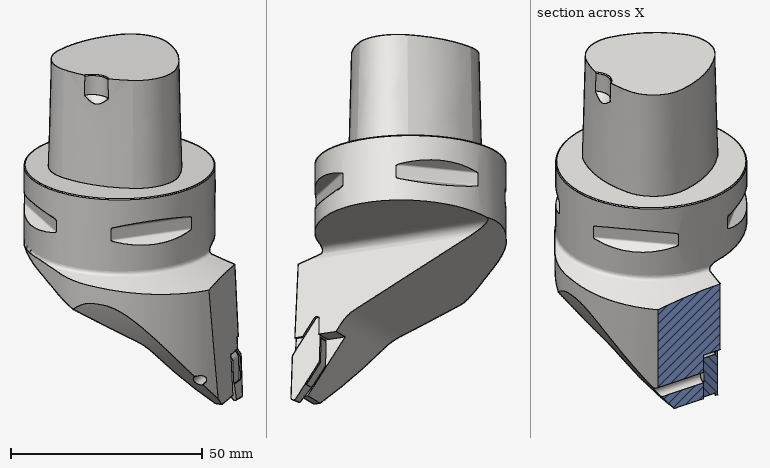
import cadquery as cq
import math


shank_length = 30.0
shank_slope = 1 / 40
lobe_reach = 18.7
flat_reach = 16.2
lobe_radius = 11.5

notch_radius = 4.4
notch_wall_y = -13.8
notch_depth = 5.6
notch_chamfer = 0.3

flange_radius = 25.0
flange_chamfer = 0.3
slot_count = 4
slot_z = -10.0
slot_floor_reach = 22.3
slot_floor_width = 3.6
slot_wall_angle = 30
slot_fillet = 0.6

shoulder_z = -21.2
shoulder_angle = 15
shoulder_fillet = 1.2

nose_arc_centre_x = 7.6
nose_arc_radius = 30.0
flank_arc_centre_x = 5.7
flank_arc_radius = 21.0
plan_rim_radius = 25.3
flank_angle = 34.5

arm_bottom_z = -57.9
back_slope_angle = 5
back_slope_rim_z = -17.7
back_face_y = 0.8
back_fillet = 3.0
belly_radius = 80.0
belly_centre_y = 46.1
belly_centre_z = -2.6
outer_face_x = 32.5
outer_face_z = -23.1
outer_face_angle = 2.8
heel_z = -19.35
heel_angle = 24.6
bend_x = 18.3
undercut_angle = 53
bend_fillet = 10.0

insert_angle = 35
insert_side = 13.95
insert_lead_angle = 2
insert_thickness = 4.5
insert_clearance = 5
insert_nose_radius = 0.8
insert_side_radius = 1.2
insert_nose_x = 34.2
tool_length = 60.0
flank_step_y = -0.8
flank_step_depth = 0.45
flank_step_length = 6.8
underside_half_length = 5.4
underside_angle = 12

seat_window_z = -43.3
screw_hole_diameter = 3.0

REACH = 54


def tan_deg(angle):
    return math.tan(math.radians(angle))


def polar(radius, angle):
    return (radius * math.cos(math.radians(angle)), radius * math.sin(math.radians(angle)))


def moved(point, distance, angle):
    step = polar(distance, angle)
    return (point[0] + step[0], point[1] + step[1])


corner_reach = insert_nose_radius / math.sin(math.radians(insert_angle / 2))
outer_edge_heading = 90 + insert_lead_angle
inner_edge_heading = outer_edge_heading + insert_angle
diagonal_heading = outer_edge_heading + insert_angle / 2
nose_centre = (insert_nose_x, insert_nose_radius - tool_length)
tip_corner = moved(nose_centre, -corner_reach, diagonal_heading)
outer_corner = moved(tip_corner, insert_side, outer_edge_heading)
inner_corner = moved(tip_corner, insert_side, inner_edge_heading)
far_corner = moved(outer_corner, insert_side, inner_edge_heading)
insert_centre = ((tip_corner[0] + far_corner[0]) / 2, (tip_corner[1] + far_corner[1]) / 2)


def make_shank():
    """Lobe arcs joined by tangent side arcs, drawn in towards the top."""
    lobe_offset = lobe_reach - lobe_radius
    gap = flat_reach - lobe_radius
    side_offset = (lobe_offset**2 - gap**2) / (2 * gap - lobe_offset)
    side_radius = flat_reach + side_offset
    seam_half_turn = math.degrees(
        math.atan2(lobe_offset * math.sin(math.pi / 3), side_offset + lobe_offset / 2)
    )

    def seam(side_angle, sign):
        centre = polar(-side_offset, side_angle)
        return moved(centre, side_radius, side_angle + sign * seam_half_turn)

    outline = cq.Workplane("XY").moveTo(*seam(-90, -1))
    for side_angle in (-90, 30, 150):
        outline = outline.threePointArc(polar(flat_reach, side_angle), seam(side_angle, 1))
        outline = outline.threePointArc(polar(lobe_reach, side_angle + 60), seam(side_angle + 120, -1))
    return outline.close().extrude(shank_length, taper=math.degrees(math.atan(shank_slope)))


def make_notch_drill():
    """Drill with a 90 degree point that bites the -Y side of the shank from above."""
    shoulder = shank_length - notch_depth
    profile = (
        cq.Workplane("XZ")
        .moveTo(0, shoulder - notch_radius)
        .lineTo(notch_radius, shoulder)
        .lineTo(notch_radius, shank_length - notch_chamfer)
        .lineTo(notch_radius + notch_chamfer, shank_length)
        .lineTo(0, shank_length)
        .close()
    )
    drill = profile.revolve(360, (0, 0, 0), (0, 1, 0))
    return drill.translate((0, notch_wall_y - notch_radius, 0))


def make_gripper_slot():
    """Trapezoidal slot across the +X side of the flange, with rounded floor corners."""
    depth = 2 * (flange_radius - slot_floor_reach)
    floor_half = slot_floor_width / 2
    mouth_half = floor_half + depth * tan_deg(slot_wall_angle)
    return (
        cq.Workplane("XZ", origin=(slot_floor_reach, 0, slot_z))
        .polyline([(0, -floor_half), (depth, -mouth_half), (depth, mouth_half), (0, floor_half)])
        .close()
        .extrude(flange_radius, both=True)
        .faces("<X")
        .edges("|Y")
        .fillet(slot_fillet)
    )


def make_turned_blank():
    """Flange cylinder running through a fillet into the conical shoulder, turned about Z."""
    cone_slope = tan_deg(shoulder_angle)
    blank_radius = 2 * flange_radius
    tangent_length = shoulder_fillet * tan_deg((90 - shoulder_angle) / 2)
    corner = (flange_radius, shoulder_z)
    fillet_top = (flange_radius, shoulder_z + tangent_length)
    fillet_end = moved(corner, tangent_length, -shoulder_angle)
    fillet_centre = (flange_radius + shoulder_fillet, fillet_top[1])
    fillet_middle = moved(fillet_centre, -shoulder_fillet, (90 - shoulder_angle) / 2)
    return (
        cq.Workplane("XZ")
        .lineTo(flange_radius - flange_chamfer, 0)
        .lineTo(flange_radius, -flange_chamfer)
        .lineTo(*fillet_top)
        .threePointArc(fillet_middle, fillet_end)
        .lineTo(blank_radius, shoulder_z - (blank_radius - flange_radius) * cone_slope)
        .lineTo(blank_radius, arm_bottom_z)
        .lineTo(0, arm_bottom_z)
        .close()
        .revolve(360, (0, 0, 0), (0, 1, 0))
    )


def make_plan_prism():
    """Plan outline of flange and arm together, over the full height."""
    flank_centre = (flank_arc_centre_x, flank_arc_radius - nose_arc_radius)
    flank_bottom = (flank_arc_centre_x, -nose_arc_radius)
    flank_middle = moved(flank_centre, flank_arc_radius, -90 - flank_angle / 2)
    flank_start = moved(flank_centre, flank_arc_radius, -90 - flank_angle)
    rim_point = polar(plan_rim_radius, -90 - flank_angle)
    nose_arc_centre = (nose_arc_centre_x, 0)
    arm = (
        cq.Workplane("XY")
        .lineTo(*rim_point)
        .lineTo(*flank_start)
        .threePointArc(flank_middle, flank_bottom)
        .lineTo(nose_arc_centre_x, -nose_arc_radius)
        .threePointArc(
            moved(nose_arc_centre, nose_arc_radius, -45),
            moved(nose_arc_centre, nose_arc_radius, 0),
        )
        .lineTo(nose_arc_centre_x + nose_arc_radius, flange_radius / 2)
        .lineTo(0, flange_radius / 2)
        .close()
        .extrude(arm_bottom_z)
    )
    return arm.union(cq.Workplane("XY").circle(plan_rim_radius).extrude(arm_bottom_z))


def make_back_cut():
    """Clears the +Y side: sloping flange underside, fillet and upright back face."""
    slope = tan_deg(back_slope_angle)
    rim_y = 2 * flange_radius
    rim_z = back_slope_rim_z + (rim_y - flange_radius) * slope
    corner_z = rim_z - (rim_y - back_face_y) * slope
    return (
        cq.Workplane("YZ")
        .polyline([
            (back_face_y, corner_z),
            (rim_y, rim_z),
            (rim_y, -2 * tool_length),
            (back_face_y, -2 * tool_length),
        ])
        .close()
        .extrude(REACH, both=True)
        .edges(cq.selectors.NearestToPointSelector((0, back_face_y, corner_z)))
        .fillet(back_fillet)
    )


def make_arm_side_profile():
    """Solid kept along Y: heel slope, bend, undercut and leaning outer face."""
    bend_z = heel_z - (bend_x + flange_radius) * tan_deg(heel_angle)
    outer_slope = tan_deg(outer_face_angle)
    outer_top_x = outer_face_x + outer_face_z * outer_slope
    low_z = -2 * tool_length
    undercut_x = bend_x + (bend_z - low_z) / tan_deg(undercut_angle)
    start_x = -2 * flange_radius
    start_z = heel_z - (start_x + flange_radius) * tan_deg(heel_angle)
    kept = (
        cq.Workplane("XZ")
        .polyline([
            (start_x, shank_length),
            (start_x, start_z),
            (bend_x, bend_z),
            (undercut_x, low_z),
            (2 * undercut_x, low_z),
            (2 * undercut_x, shank_length),
        ])
        .close()
        .extrude(REACH, both=True)
        .edges(cq.selectors.NearestToPointSelector((bend_x, 0, bend_z)))
        .fillet(bend_fillet)
    )
    outer = (
        cq.Workplane("XZ")
        .polyline([
            (start_x, shank_length),
            (outer_top_x - shank_length * outer_slope, shank_length),
            (outer_top_x - low_z * outer_slope, low_z),
            (start_x, low_z),
        ])
        .close()
        .extrude(REACH, both=True)
    )
    return kept.intersect(outer)


def make_belly():
    """Large cylinder along X that rounds the -Y side of the arm."""
    return (
        cq.Workplane("YZ", origin=(0, belly_centre_y, belly_centre_z))
        .circle(belly_radius)
        .extrude(REACH, both=True)
    )


def insert_outline():
    """Rhombus with rounded corners in the plane Y = 0."""
    corners = [tip_corner, outer_corner, far_corner, inner_corner]
    wire = cq.Wire.makePolygon([cq.Vector(x, 0, z) for x, z in corners], close=True)

    def at(*points):
        wanted = [cq.Vector(x, 0, z) for x, z in points]
        return [v for v in wire.Vertices() if min((v.Center() - w).Length for w in wanted) < 0.01]

    wire = wire.fillet2D(insert_nose_radius, at(tip_corner, far_corner))
    return wire.fillet2D(insert_side_radius, at(outer_corner, inner_corner))


def make_seat():
    """Pocket for the insert, open at the back, with the window and the screw hole."""
    pocket = cq.Workplane(
        cq.Solid.extrudeLinear(insert_outline(), [], cq.Vector(0, -insert_thickness, 0))
    )
    opening = cq.Workplane(
        cq.Solid.extrudeLinear(insert_outline(), [], cq.Vector(0, 2 * back_face_y, 0))
    )
    window = (
        cq.Workplane("XZ")
        .polyline([
            (bend_x, seat_window_z),
            (insert_centre[0], seat_window_z),
            insert_centre,
            tip_corner,
            (bend_x, tip_corner[1]),
        ])
        .close()
        .extrude(insert_thickness)
    )
    rim_clearance = (
        cq.Workplane("XY")
        .box(REACH, back_face_y * 2, tool_length, centered=(False, False, False))
        .translate((0, 0, seat_window_z - tool_length))
    )
    hole = (
        cq.Workplane("XZ")
        .center(*insert_centre)
        .circle(screw_hole_diameter / 2)
        .extrude(REACH)
    )
    return pocket.union(opening).union(window).union(rim_clearance).union(hole)


def make_holder():
    body = make_turned_blank().intersect(make_plan_prism())
    body = body.intersect(make_arm_side_profile()).intersect(make_belly())
    body = body.cut(make_back_cut())
    slot = make_gripper_slot()
    for index in range(slot_count):
        angle = (index + 0.5) * 360 / slot_count
        body = body.cut(slot.rotate((0, 0, 0), (0, 0, 1), angle))
    body = body.cut(make_seat())
    return body.union(make_shank().cut(make_notch_drill()))


def make_flank_step(blunt_corner, sharp_corner):
    """Recess along one flank, from its blunt corner part of the way to its sharp corner."""
    run = (sharp_corner[0] - blunt_corner[0], sharp_corner[1] - blunt_corner[1])
    heading = math.degrees(math.atan2(run[1], run[0]))
    step = (
        cq.Workplane("XZ", origin=(0, flank_step_y, 0))
        .rect(2 * flank_step_length, 2 * flank_step_depth)
        .extrude(insert_thickness + flank_step_y)
        .rotate((0, 0, 0), (0, 1, 0), -heading)
    )
    return step.translate((blunt_corner[0], 0, blunt_corner[1]))


def round_step_corners(body):
    """Rounds the upright edge where the two flank recesses meet below each blunt corner."""
    edge_y = (flank_step_y - insert_thickness) / 2
    inset = flank_step_depth / math.cos(math.radians(insert_angle / 2))
    inward = diagonal_heading + 90
    for corner, heading in ((outer_corner, inward), (inner_corner, inward + 180)):
        x, z = moved(corner, inset, heading)
        edge = body.edges(cq.selectors.NearestToPointSelector((x, edge_y, z)))
        body = edge.fillet(insert_side_radius)
    return body


def make_underside_cut(heading):
    """Wedge that raises the underside towards one sharp corner."""
    rise = insert_side * tan_deg(underside_angle)
    wedge = (
        cq.Workplane("XY", origin=(underside_half_length, -insert_thickness, 0))
        .polyline([(0, 0), (insert_side, 0), (insert_side, rise)])
        .close()
        .extrude(insert_side, both=True)
        .rotate((0, 0, 0), (0, 1, 0), -heading)
    )
    return wedge.translate((insert_centre[0], 0, insert_centre[1]))


def make_insert():
    body = cq.Workplane(
        cq.Solid.extrudeLinear(
            insert_outline(), [], cq.Vector(0, -insert_thickness, 0), insert_clearance
        )
    )
    for blunt_corner in (outer_corner, inner_corner):
        for sharp_corner in (tip_corner, far_corner):
            body = body.cut(make_flank_step(blunt_corner, sharp_corner))
    body = round_step_corners(body)
    for heading in (diagonal_heading, diagonal_heading + 180):
        body = body.cut(make_underside_cut(heading))
    return body


holder = make_holder()
insert = make_insert()

result = cq.Compound.makeCompound([holder.solids().val(), insert.solids().val()])